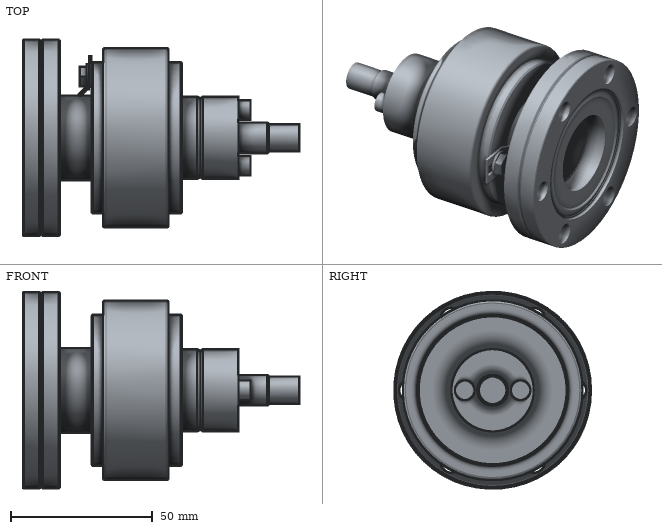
import cadquery as cq
import math

total_length = 97.5
flange_end = 13.0
joint_start = 6.1
joint_end = 6.4
collar_start = 24.1
body_start = 28.2
body_end = 51.4
collar_end = 56.2
hub_groove_start = 61.4
hub_groove_bottom = 62.6
hub_groove_end = 63.5
hub_end = 76.0
pin_end = 80.3
shaft_step_start = 86.2
shaft_step_end = 86.8

flange_diameter = 69.5
flange_radius = flange_diameter / 2
neck_radius = 15.0
collar_radius = 26.7
body_radius = 31.8
hub_radius = 14.5
hub_groove_radius = 13.8
shaft_radius = 5.5
shaft_tip_radius = 4.9

flange_chamfer = 0.6
face_chamfer = 0.3
collar_chamfer = 0.6
body_fillet = 1.0

recess_radius = 24.2
recess_depth = 1.3
knife_groove_radius = 23.6
knife_groove_depth = 1.6
knife_radius = 21.0
knife_depth = 0.6
inner_floor_radius = 20.5
inner_floor_depth = 1.2
bore_radius = 14.0
bore_end = 8.4
window_radius = 13.4
window_rim_height = 0.2

bolt_count = 6
bolt_circle_radius = 29.3
bolt_hole_diameter = 7.3

pin_diameter = 6.9
pin_offset = 9.8

screw_y = 21.6
screw_diameter = 4.0
head_across_flats = 7.1
head_height = 2.4
washer_diameter = 9.0
washer_thickness = 0.9
lug_thickness = 0.9
lug_width = 9.75
lug_top_y = 29.0
lug_bend_y = 18.6
lug_leg_drop = 3.9
lug_bend_angle = math.radians(45)
lug_slot_end_y = 28.1
lug_front = collar_start - lug_thickness
washer_front = lug_front - washer_thickness


def turned(profile):
    """Revolve a closed (x, radius) outline about the X axis."""
    return cq.Workplane("XY").polyline(profile).close().revolve(360, (0, 0, 0), (1, 0, 0))


def disc(start, end, radius):
    """Cylinder on the X axis between two stations."""
    return cq.Workplane("YZ", origin=(start, 0, 0)).circle(radius).extrude(end - start)


def make_flanges():
    chamfered_radius = flange_radius - flange_chamfer
    flanges = turned([
        (0, 0),
        (0, flange_radius - face_chamfer),
        (face_chamfer, flange_radius),
        (joint_start - flange_chamfer, flange_radius),
        (joint_start, chamfered_radius),
        (joint_end, chamfered_radius),
        (joint_end + flange_chamfer, flange_radius),
        (flange_end - flange_chamfer, flange_radius),
        (flange_end, chamfered_radius),
        (flange_end, 0),
    ])
    recess = turned([
        (0, 0),
        (0, recess_radius),
        (recess_depth, recess_radius),
        (recess_depth, knife_groove_radius),
        (knife_groove_depth, knife_groove_radius),
        (knife_depth, knife_radius),
        (inner_floor_depth, inner_floor_radius),
        (inner_floor_depth, bore_radius),
        (bore_end, bore_radius),
        (bore_end - window_rim_height, window_radius),
        (bore_end, window_radius),
        (bore_end, 0),
    ])
    bolt_holes = (
        cq.Workplane("YZ")
        .polarArray(bolt_circle_radius, 0, 360, bolt_count)
        .circle(bolt_hole_diameter / 2)
        .extrude(flange_end)
    )
    return flanges.cut(recess).cut(bolt_holes)


def make_housing():
    neck = disc(flange_end, collar_start, neck_radius)
    collar = disc(collar_start, collar_end, collar_radius).edges().chamfer(collar_chamfer)
    body = disc(body_start, body_end, body_radius).edges().fillet(body_fillet)
    return neck.union(collar).union(body)


def make_hub_and_shaft():
    return turned([
        (collar_end, 0),
        (collar_end, hub_radius),
        (hub_groove_start, hub_radius),
        (hub_groove_bottom, hub_groove_radius),
        (hub_groove_end, hub_radius),
        (hub_end, hub_radius),
        (hub_end, shaft_radius),
        (shaft_step_start, shaft_radius),
        (shaft_step_end, shaft_tip_radius),
        (total_length, shaft_tip_radius),
        (total_length, 0),
    ])


def make_pins():
    return (
        cq.Workplane("YZ", origin=(hub_end, 0, 0))
        .pushPoints([(-pin_offset, 0), (pin_offset, 0)])
        .circle(pin_diameter / 2)
        .extrude(pin_end - hub_end)
    )


def make_lug():
    """Sheet lug: a slotted flat on the collar face and a leg bent down to the neck."""
    bend_shift = lug_thickness * math.tan(lug_bend_angle / 2)
    tip_shift_x = lug_thickness * math.cos(lug_bend_angle)
    tip_shift_y = lug_thickness * math.sin(lug_bend_angle)
    inner_bend_y = lug_bend_y + bend_shift
    tip_x = collar_start - lug_leg_drop * math.tan(lug_bend_angle)
    tip_y = lug_bend_y - lug_leg_drop
    lug = (
        cq.Workplane("XY", origin=(0, 0, -lug_width / 2))
        .polyline([
            (collar_start, lug_top_y),
            (collar_start, lug_bend_y),
            (tip_x, tip_y),
            (tip_x - tip_shift_x, tip_y + tip_shift_y),
            (lug_front, inner_bend_y),
            (lug_front, lug_top_y),
        ])
        .close()
        .extrude(lug_width)
    )
    slot = (
        cq.Workplane("YZ", origin=(lug_front, (screw_y + lug_slot_end_y) / 2, 0))
        .rect(lug_slot_end_y - screw_y, screw_diameter)
        .extrude(lug_thickness)
    )
    return lug.cut(slot)


def make_screw():
    washer_plane = cq.Workplane("YZ", origin=(washer_front, screw_y, 0))
    washer = washer_plane.circle(washer_diameter / 2).extrude(washer_thickness)
    shank = washer_plane.circle(screw_diameter / 2).extrude(body_start - washer_front)
    across_corners = head_across_flats / math.cos(math.radians(30))
    head = (
        washer_plane
        .transformed(rotate=(0, 0, 90))
        .polygon(6, across_corners)
        .extrude(-head_height)
    )
    return washer.union(shank).union(head)


result = (
    make_flanges()
    .union(make_housing())
    .union(make_hub_and_shaft())
    .union(make_pins())
    .union(make_lug())
    .union(make_screw())
)